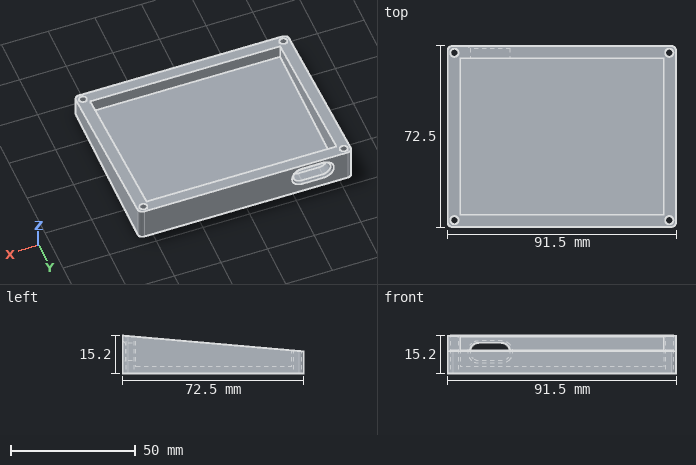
import cadquery as cq
import math

LENGTH = 91.46
WIDTH = 72.48
BACK_HEIGHT = 15.22
TOP_SLOPE_DEG = 5.0
CORNER_RADIUS = 2.0
FRONT_HEIGHT = BACK_HEIGHT - WIDTH * math.tan(math.radians(TOP_SLOPE_DEG))

WALL = 5.0
FLOOR_THICKNESS = 3.0

HOLE_DIAMETER = 3.2
HOLE_INSET = 2.75

SLOT_LENGTH = 16.0
SLOT_HEIGHT = 7.0
SLOT_TOP = BACK_HEIGHT - 3.0
SLOT_START = 9.0
SLOT_CHAMFER = 1.0


def make_body():
    """Wedge-shaped block with rounded vertical edges."""
    side_profile = [
        (-WIDTH / 2, 0),
        (WIDTH / 2, 0),
        (WIDTH / 2, BACK_HEIGHT),
        (-WIDTH / 2, FRONT_HEIGHT),
    ]
    wedge = cq.Workplane("YZ").polyline(side_profile).close().extrude(LENGTH / 2, both=True)
    return wedge.edges("|Z").fillet(CORNER_RADIUS)


def make_cavity():
    """Rectangular pocket, open at the top, above a flat floor."""
    return (
        cq.Workplane("XY", origin=(0, 0, FLOOR_THICKNESS))
        .rect(LENGTH - 2 * WALL, WIDTH - 2 * WALL)
        .extrude(BACK_HEIGHT)
    )


def make_corner_holes():
    """Four vertical through holes, one in each corner."""
    return (
        cq.Workplane("XY")
        .rect(LENGTH - 2 * HOLE_INSET, WIDTH - 2 * HOLE_INSET, forConstruction=True)
        .vertices()
        .circle(HOLE_DIAMETER / 2)
        .extrude(BACK_HEIGHT)
    )


def make_back_slot():
    """Horizontal round-ended slot through the back wall, chamfered at the outer face."""
    center_x = -LENGTH / 2 + SLOT_START + SLOT_LENGTH / 2
    center_z = SLOT_TOP - SLOT_HEIGHT / 2
    outer_face = cq.Workplane("XZ", origin=(center_x, WIDTH / 2, center_z))
    passage = outer_face.slot2D(SLOT_LENGTH, SLOT_HEIGHT).extrude(WALL)
    mouth = outer_face.slot2D(
        SLOT_LENGTH + 2 * SLOT_CHAMFER, SLOT_HEIGHT + 2 * SLOT_CHAMFER
    ).extrude(SLOT_CHAMFER, taper=45)
    return passage.union(mouth)


result = make_body().cut(make_cavity()).cut(make_corner_holes()).cut(make_back_slot())